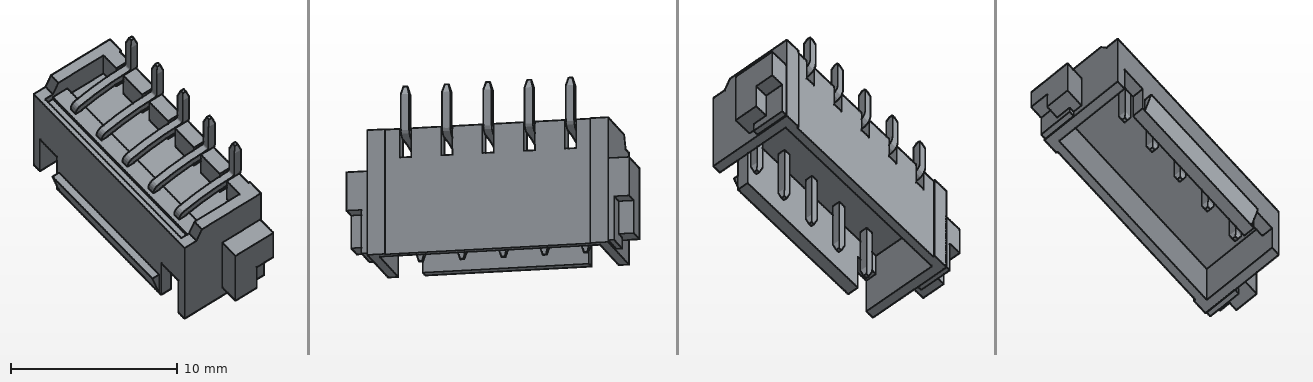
import cadquery as cq
import math


OVERALL_LENGTH = 17.4

BODY_LENGTH = 14.82
BODY_DEPTH = 5.81
BODY_HEIGHT = 7.73
FRONT_HEIGHT = 6.93
STEP_BOTTOM_Y = 0.9
STEP_TOP_Y = 1.32
BACK_RELIEF_LENGTH = 12.63
BACK_RELIEF_DEPTH = 0.1

POCKET_LENGTH = 13.36
POCKET_FRONT_Y = 0.31
POCKET_BACK_Y = 4.75
SHELF_BACK_Y = 2.0
GROOVE_FLOOR_Z = 6.47
SHELF_FLOOR_Z = 6.65
BACK_FLOOR_Z = 5.95
SLOT_WIDTH = 0.7

FLOOR_THICKNESS = 1.0
SIDE_WALL = 0.63
FRONT_WALL = 0.77
BACK_WALL = SIDE_WALL
CAVITY_LENGTH = BODY_LENGTH - 2 * SIDE_WALL

NOTCH_WIDTH = 1.67
NOTCH_HEIGHT = 3.11
RAMP_LENGTH = 9.81
RAMP_HEIGHT = 1.8
RAMP_PROJECTION = 0.5

TAB_FRONT_Y = 2.87
TAB_BACK_Y = 5.76
TAB_BOTTOM_Z = 0.8
TAB_TOP_Z = 5.2
TAB_CUT_Y = 4.49
TAB_CUT_Z = 2.82
FOOT_FRONT_Y = 3.5
FOOT_BOTTOM_Z = 0.12
FOOT_PROJECTION = 0.37

PIN_COUNT = 5
PIN_PITCH = 2.54
PIN_WIDTH = 0.5
PIN_TIP_WIDTH = 0.23
PIN_TIP_LENGTH = 0.5
PIN_TOP_Z = 10.32
PIN_BOTTOM_Z = 0.54
POST_OVERHANG = 0.09
POST_Y = BODY_DEPTH + POST_OVERHANG - PIN_WIDTH / 2
TAIL_FRONT_Y = 1.2
TAIL_Y = TAIL_FRONT_Y + PIN_WIDTH / 2
POST_BEND_INNER_RADIUS = 0.17
POST_BEND_RADIUS = POST_BEND_INNER_RADIUS + PIN_WIDTH / 2
POST_BEND_Z = 7.83
ARM_RADIUS = 13.75
ARM_ANGLE = math.radians(15)


def box(x0, x1, y0, y1, z0, z1):
    """Box between opposite corners."""
    return cq.Workplane("XY").box(x1 - x0, y1 - y0, z1 - z0, centered=False).translate((x0, y0, z0))


def centred_box(length, y0, y1, z0, z1):
    """Box symmetric about the YZ plane."""
    return box(-length / 2, length / 2, y0, y1, z0, z1)


def side_prism(points, length):
    """Outline of (Y, Z) points extruded symmetrically along X."""
    return cq.Workplane("YZ").polyline(points).close().extrude(length / 2, both=True)


def both_sides(shape):
    """Shape together with its mirror image across the YZ plane."""
    return shape.union(shape.mirror("YZ"))


def housing_block():
    profile = [
        (0, 0),
        (0, FRONT_HEIGHT),
        (STEP_BOTTOM_Y, FRONT_HEIGHT),
        (STEP_TOP_Y, BODY_HEIGHT),
        (BODY_DEPTH, BODY_HEIGHT),
        (BODY_DEPTH, 0),
    ]
    relief_y = BODY_DEPTH - BACK_RELIEF_DEPTH
    relief = centred_box(BACK_RELIEF_LENGTH, relief_y, BODY_DEPTH, 0, BODY_HEIGHT)
    return side_prism(profile, BODY_LENGTH).cut(relief)


def upper_pocket():
    profile = [
        (POCKET_FRONT_Y, BODY_HEIGHT),
        (POCKET_FRONT_Y, GROOVE_FLOOR_Z),
        (STEP_BOTTOM_Y, GROOVE_FLOOR_Z),
        (STEP_BOTTOM_Y, SHELF_FLOOR_Z),
        (SHELF_BACK_Y, SHELF_FLOOR_Z),
        (SHELF_BACK_Y, BACK_FLOOR_Z),
        (POCKET_BACK_Y, BACK_FLOOR_Z),
        (POCKET_BACK_Y, BODY_HEIGHT),
    ]
    return side_prism(profile, POCKET_LENGTH)


def lower_cavity():
    ceiling_z = BACK_FLOOR_Z - FLOOR_THICKNESS
    return centred_box(CAVITY_LENGTH, FRONT_WALL, BODY_DEPTH - BACK_WALL, 0, ceiling_z)


def front_notches():
    outer_x = CAVITY_LENGTH / 2
    return both_sides(box(outer_x - NOTCH_WIDTH, outer_x, 0, FRONT_WALL, 0, NOTCH_HEIGHT))


def pin_slot(x):
    return centred_box(SLOT_WIDTH, POCKET_BACK_Y, BODY_DEPTH, BACK_FLOOR_Z, BODY_HEIGHT).translate((x, 0, 0))


def latch_ramp():
    return side_prism([(0, 0), (0, RAMP_HEIGHT), (-RAMP_PROJECTION, RAMP_HEIGHT)], RAMP_LENGTH)


def side_tabs():
    body_x = BODY_LENGTH / 2
    tab_x = OVERALL_LENGTH / 2
    plate = box(body_x, tab_x, TAB_FRONT_Y, TAB_BACK_Y, TAB_BOTTOM_Z, TAB_TOP_Z)
    corner = box(body_x, tab_x, TAB_CUT_Y, TAB_BACK_Y, TAB_BOTTOM_Z, TAB_CUT_Z)
    foot = box(body_x, body_x + FOOT_PROJECTION, FOOT_FRONT_Y, TAB_BACK_Y, FOOT_BOTTOM_Z, TAB_CUT_Z)
    return both_sides(plate.cut(corner).union(foot))


def pin_tip(y, z_base, z_end):
    """Square taper from the full pin width to the blunt pin end."""
    return (
        cq.Workplane("XY", origin=(0, y, z_base))
        .rect(PIN_WIDTH, PIN_WIDTH)
        .workplane(offset=z_end - z_base)
        .rect(PIN_TIP_WIDTH, PIN_TIP_WIDTH)
        .loft(ruled=True)
    )


def arc_point(centre, radius, angle):
    """(Y, Z) point on an arc, with the angle measured from +Z toward -Y."""
    return centre[0] - radius * math.sin(angle), centre[1] + radius * math.cos(angle)


def bent_pin():
    post_end_z = PIN_TOP_Z - PIN_TIP_LENGTH
    tail_end_z = PIN_BOTTOM_Z + PIN_TIP_LENGTH

    post_centre = (POST_Y - POST_BEND_RADIUS, POST_BEND_Z)
    mid_post_angle = (math.pi + 1.5 * math.pi) / 2
    arm_start = arc_point(post_centre, POST_BEND_RADIUS, math.pi)
    arm_centre = (arm_start[0], arm_start[1] - ARM_RADIUS)
    arm_end = arc_point(arm_centre, ARM_RADIUS, ARM_ANGLE)

    tail_radius = (arm_end[0] - TAIL_Y) / (1 - math.sin(ARM_ANGLE))
    tail_centre = arc_point(arm_end, -tail_radius, ARM_ANGLE)
    mid_tail_angle = (ARM_ANGLE + math.pi / 2) / 2

    path = (
        cq.Workplane("YZ")
        .moveTo(POST_Y, post_end_z)
        .lineTo(POST_Y, POST_BEND_Z)
        .threePointArc(arc_point(post_centre, POST_BEND_RADIUS, mid_post_angle), arm_start)
        .threePointArc(arc_point(arm_centre, ARM_RADIUS, ARM_ANGLE / 2), arm_end)
        .threePointArc(
            arc_point(tail_centre, tail_radius, mid_tail_angle),
            arc_point(tail_centre, tail_radius, math.pi / 2),
        )
        .lineTo(TAIL_Y, tail_end_z)
    )
    bar = cq.Workplane("XY", origin=(0, POST_Y, post_end_z)).rect(PIN_WIDTH, PIN_WIDTH).sweep(path)
    top_tip = pin_tip(POST_Y, post_end_z, PIN_TOP_Z)
    tail_tip = pin_tip(TAIL_Y, tail_end_z, PIN_BOTTOM_Z)
    return bar.union(top_tip).union(tail_tip)


pin_positions = [(i - (PIN_COUNT - 1) / 2) * PIN_PITCH for i in range(PIN_COUNT)]

result = housing_block().cut(upper_pocket()).cut(lower_cavity()).cut(front_notches())
for pin_x in pin_positions:
    result = result.cut(pin_slot(pin_x))

result = result.union(latch_ramp()).union(side_tabs())

pin = bent_pin()
for pin_x in pin_positions:
    result = result.union(pin.translate((pin_x, 0, 0)))